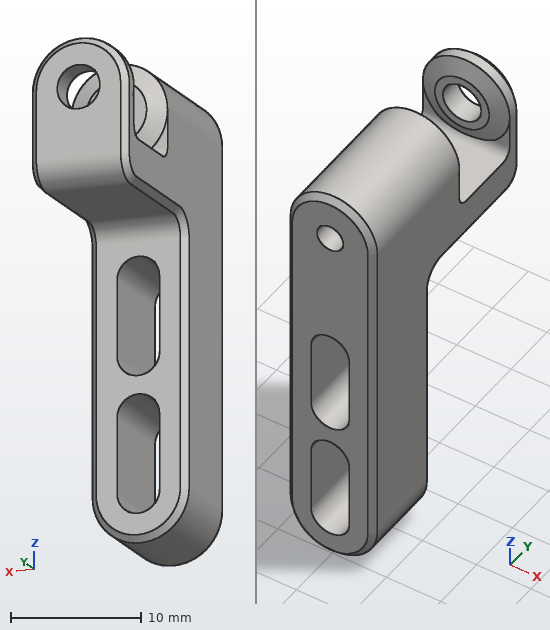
import cadquery as cq

width = 8.0
depth = 20.5
height = 37.0
end_radius = width / 2
edge_chamfer = 0.5

leg_depth = 8.0
arm_bottom = height - 11.58
ear_corner_radius = 2.0
arm_corner_radius = 1.5

gap_front = 12.0
gap_back = 19.0
gap_floor = height - width
gap_fillet = 1.0

pad_height = 0.6
pad_flat_diameter = 5.0

pivot_z = height - end_radius
block_hole_diameter = 2.4
ear_hole_diameter = 3.5

slot_width = 3.5
slot_center_distance = 6.0
slot_pitch = 11.0
slot_count = 2


def make_body():
    """L-shaped side profile with round ends and chamfered front and back rims."""
    profile = (
        cq.Workplane("YZ")
        .polyline([
            (0, 0),
            (leg_depth, 0),
            (leg_depth, arm_bottom),
            (depth, arm_bottom),
            (depth, height),
            (0, height),
        ])
        .close()
        .extrude(end_radius, both=True)
    )
    ear_corner = cq.selectors.NearestToPointSelector((0, depth, arm_bottom))
    arm_corner = cq.selectors.NearestToPointSelector((0, leg_depth, arm_bottom))
    profile = profile.edges("|X").edges(ear_corner).fillet(ear_corner_radius)
    profile = profile.edges("|X").edges(arm_corner).fillet(arm_corner_radius)
    envelope = (
        cq.Workplane("XZ")
        .center(0, height / 2)
        .slot2D(height, width, 90)
        .extrude(-depth)
    )
    body = profile.intersect(envelope)
    return body.faces("<Y or >Y").edges().chamfer(edge_chamfer)


def make_gap():
    """Open-topped cutter with rounded floor corners."""
    return (
        cq.Workplane("XY")
        .box(width, gap_back - gap_front, width, centered=(True, False, False))
        .translate((0, gap_front, gap_floor))
        .edges("|X and <Z")
        .fillet(gap_fillet)
    )


def make_pad(face_y, direction):
    """Truncated cone standing on a gap wall; direction is +1 or -1 along Y."""
    return cq.Workplane(cq.Solid.makeCone(
        end_radius,
        pad_flat_diameter / 2,
        pad_height,
        cq.Vector(0, face_y, pivot_z),
        cq.Vector(0, direction, 0),
    ))


def make_pivot_hole(diameter, start_y, end_y):
    """Cylinder along Y on the pivot axis."""
    return cq.Workplane(cq.Solid.makeCylinder(
        diameter / 2,
        end_y - start_y,
        cq.Vector(0, start_y, pivot_z),
        cq.Vector(0, 1, 0),
    ))


def make_slot(lower_center_z):
    """Upright slot cutter passing through the leg."""
    return (
        cq.Workplane("XZ")
        .center(0, lower_center_z + slot_center_distance / 2)
        .slot2D(slot_center_distance + slot_width, slot_width, 90)
        .extrude(-leg_depth)
    )


gap_middle = (gap_front + gap_back) / 2

result = make_body().cut(make_gap())
result = result.union(make_pad(gap_front, 1)).union(make_pad(gap_back, -1))
result = result.cut(make_pivot_hole(block_hole_diameter, 0, gap_middle))
result = result.cut(make_pivot_hole(ear_hole_diameter, gap_middle, depth))
for index in range(slot_count):
    result = result.cut(make_slot(end_radius + index * slot_pitch))